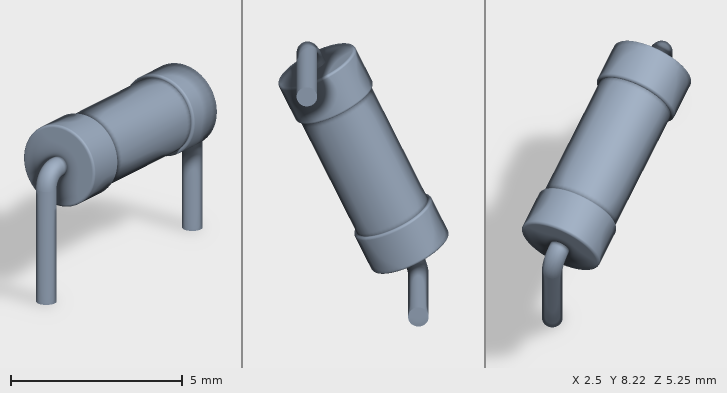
import cadquery as cq

overall_length = 8.22
overall_height = 5.25

cap_diameter = 2.5
cap_length = 1.265
cap_edge_radius = 0.07
barrel_diameter = 2.3
body_length = 6.45
body_offset = 0.06

lead_diameter = 0.6
bend_radius = 0.5

axis_height = overall_height - cap_diameter / 2
lead_y = (overall_length - lead_diameter) / 2
bend_start_y = lead_y - bend_radius
bend_end_z = axis_height - bend_radius
body_start = body_offset - body_length / 2


def cylinder_along_y(diameter, start, length):
    """Cylinder on the body axis, running towards +Y from start."""
    plane = cq.Plane(origin=(0, start, axis_height), xDir=(1, 0, 0), normal=(0, 1, 0))
    return cq.Workplane(plane).circle(diameter / 2).extrude(length)


def end_cap(start):
    """Cap with both rims rounded."""
    return cylinder_along_y(cap_diameter, start, cap_length).edges().fillet(cap_edge_radius)


def wire_leads():
    """One wire through the body, bent down at both ends."""
    path = (
        cq.Workplane("YZ")
        .moveTo(-lead_y, 0)
        .lineTo(-lead_y, bend_end_z)
        .radiusArc((-bend_start_y, axis_height), bend_radius)
        .lineTo(bend_start_y, axis_height)
        .radiusArc((lead_y, bend_end_z), bend_radius)
        .lineTo(lead_y, 0)
    )
    return cq.Workplane("XY").center(0, -lead_y).circle(lead_diameter / 2).sweep(path)


barrel = cylinder_along_y(barrel_diameter, body_start + cap_length / 2, body_length - cap_length)

result = barrel.union(wire_leads())
for cap_start in (body_start, body_start + body_length - cap_length):
    result = result.union(end_cap(cap_start))